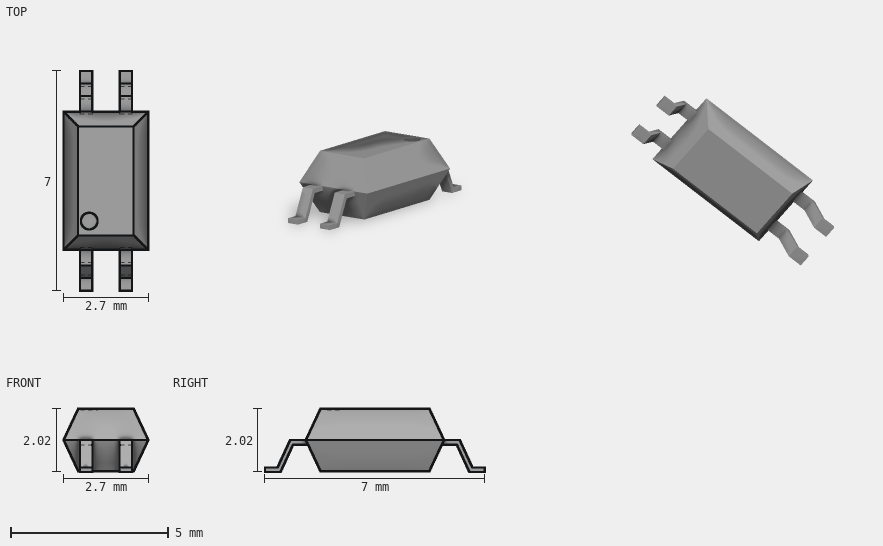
import cadquery as cq

overall_length = 7.0
body_width = 2.7
body_length = 4.4
half_height = 1.0
standoff = 0.02
face_inset = 0.47
parting_z = standoff + half_height
body_top = parting_z + half_height

lead_width = 0.4
lead_pitch = 1.27
lead_thickness = 0.155
lead_embed = 0.35
shoulder_y = 2.7
heel_y = 3.1
bend_shift = 0.1

mark_radius = 0.265
mark_depth = 0.05
mark_x = -0.53
mark_y = -1.28


def make_body_half(direction):
    """Pyramid frustum from the parting plane, upward (1) or downward (-1)."""
    return (
        cq.Workplane("XY", origin=(0, 0, parting_z))
        .rect(body_width, body_length)
        .workplane(offset=direction * half_height)
        .rect(body_width - 2 * face_inset, body_length - 2 * face_inset)
        .loft(ruled=True)
    )


def make_lead(x_center, side):
    """Gull-wing lead leaving the body toward +Y (side 1) or -Y (side -1)."""
    root_y = body_length / 2 - lead_embed
    tip_y = overall_length / 2
    profile = [
        (root_y, parting_z),
        (shoulder_y, parting_z),
        (heel_y, lead_thickness),
        (tip_y, lead_thickness),
        (tip_y, 0),
        (heel_y - bend_shift, 0),
        (shoulder_y - bend_shift, parting_z - lead_thickness),
        (root_y, parting_z - lead_thickness),
    ]
    return (
        cq.Workplane("YZ", origin=(x_center, 0, 0))
        .polyline([(side * y, z) for y, z in profile])
        .close()
        .extrude(lead_width / 2, both=True)
    )


result = make_body_half(1).union(make_body_half(-1))

for x_center in (-lead_pitch / 2, lead_pitch / 2):
    for side in (-1, 1):
        result = result.union(make_lead(x_center, side))

pin_mark = (
    cq.Workplane("XY", origin=(mark_x, mark_y, body_top - mark_depth))
    .circle(mark_radius)
    .extrude(mark_depth)
)
result = result.cut(pin_mark)